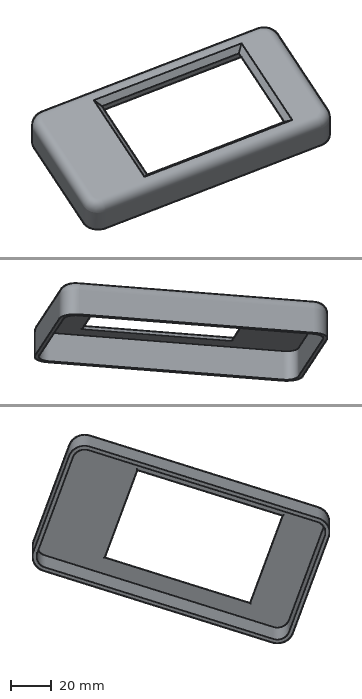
import cadquery as cq

length = 134.0
width = 70.0
height = 17.7
corner_radius = 8.0
top_fillet = 5.0

side_wall = 2.0
panel_thickness = 3.0

window_width = 49.0
window_length = 74.9
window_offset = 6.5
bevel_width = panel_thickness


def rounded_block(size_x, size_y, size_z, radius):
    """Block standing on Z = 0 with rounded vertical edges."""
    block = cq.Workplane("XY").box(size_x, size_y, size_z, centered=(True, True, False))
    return block.edges("|Z").fillet(radius)


def make_body():
    block = rounded_block(width, length, height, corner_radius)
    return block.faces(">Z").edges().fillet(top_fillet)


def make_cavity():
    return rounded_block(
        width - 2 * side_wall,
        length - 2 * side_wall,
        height - panel_thickness,
        corner_radius - side_wall,
    )


def make_window():
    return (
        cq.Workplane("XY", origin=(0, window_offset, height - panel_thickness))
        .rect(window_width, window_length)
        .workplane(offset=panel_thickness)
        .rect(window_width + 2 * bevel_width, window_length + 2 * bevel_width)
        .loft(ruled=True)
    )


result = make_body().cut(make_cavity()).cut(make_window())